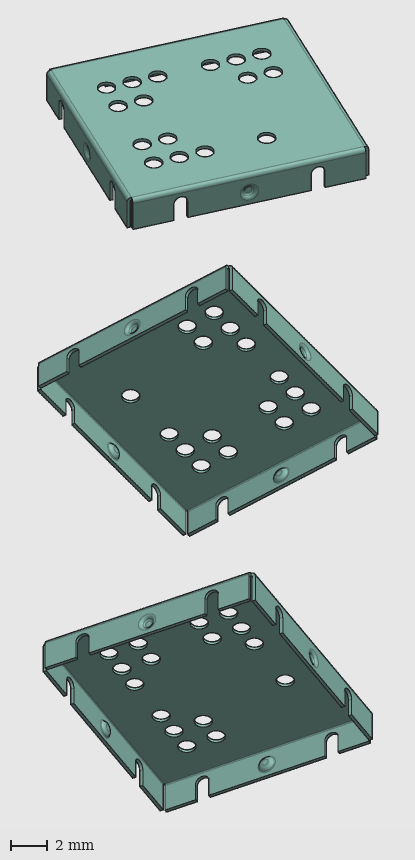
import cadquery as cq
import math

length_x = 13.16
length_y = 14.12
height = 2.0

sheet = 0.2
bend_radius = 0.25
inner_bend_radius = bend_radius - sheet

slot_width = 0.8
slot_top = 1.5
slot_offset = 4.01

dimple_height = 0.8
dimple_depth = 0.2
dimple_mouth_radius = 0.54
dimple_throat_radius = 0.31
dimple_floor_radius = 0.2

hole_diameter = 1.0
column_inner = 1.89
column_outer = 3.71
row_middle = 3.04
row_pitch = 1.5
row_low = row_middle - row_pitch
row_high = row_middle + row_pitch
single_hole_row = 2.06
full_group = [
    (column_outer, row_low),
    (column_outer, row_middle),
    (column_outer, row_high),
    (column_inner, row_middle),
    (column_inner, row_high),
]


def folded_channel(span, width):
    """Top strip with a wall bent down at each X end; span along X, width along Y."""
    outside = (
        cq.Workplane("XY")
        .box(span, width, height, centered=(True, True, False))
        .edges("|Y and >Z")
        .fillet(bend_radius)
    )
    cavity = (
        cq.Workplane("XY")
        .box(span - 2 * sheet, width, height - sheet, centered=(True, True, False))
        .edges("|Y and >Z")
        .fillet(inner_bend_radius)
    )
    return outside.cut(cavity)


def folded_lid():
    """Two crossed channels; each stops at the other's bends, leaving square corner notches."""
    along_x = folded_channel(length_x, length_y - 2 * bend_radius)
    along_y = folded_channel(length_y, length_x - 2 * bend_radius)
    return along_x.union(along_y.rotate((0, 0, 0), (0, 0, 1), 90))


def slot_pair():
    """Cutters through both Y walls at one offset each side of the middle."""
    slot_radius = slot_width / 2
    slot_shoulder = slot_top - slot_radius
    return (
        cq.Workplane("XZ")
        .pushPoints([(-slot_offset, 0), (slot_offset, 0)])
        .rect(slot_width, 2 * slot_shoulder)
        .extrude(length_y, both=True)
        .union(
            cq.Workplane("XZ")
            .pushPoints([(-slot_offset, slot_shoulder), (slot_offset, slot_shoulder)])
            .circle(slot_radius)
            .extrude(length_y, both=True)
        )
    )


def dimple_cup():
    """S-shaped cup of constant thickness, axis along Y, outer wall face at y = 0, pressed to +Y."""
    slope = 2 * math.atan(dimple_depth / (dimple_mouth_radius - dimple_floor_radius))
    mouth_arc = (dimple_mouth_radius - dimple_throat_radius) / math.sin(slope)
    floor_arc = (dimple_throat_radius - dimple_floor_radius) / math.sin(slope)
    mouth_centre_y = mouth_arc
    floor_centre_y = dimple_depth - floor_arc

    def mouth_point(radius, angle):
        x = dimple_mouth_radius - radius * math.sin(angle)
        return x, mouth_centre_y - radius * math.cos(angle)

    def floor_point(radius, angle):
        x = dimple_floor_radius + radius * math.sin(angle)
        return x, floor_centre_y + radius * math.cos(angle)

    inner_mouth_arc = mouth_arc - sheet
    inner_floor_arc = floor_arc + sheet
    return (
        cq.Workplane("XY")
        .moveTo(*mouth_point(mouth_arc, 0))
        .threePointArc(mouth_point(mouth_arc, slope / 2), mouth_point(mouth_arc, slope))
        .threePointArc(floor_point(floor_arc, slope / 2), floor_point(floor_arc, 0))
        .lineTo(0, dimple_depth)
        .lineTo(0, dimple_depth + sheet)
        .lineTo(*floor_point(inner_floor_arc, 0))
        .threePointArc(floor_point(inner_floor_arc, slope / 2), floor_point(inner_floor_arc, slope))
        .threePointArc(mouth_point(inner_mouth_arc, slope / 2), mouth_point(inner_mouth_arc, 0))
        .close()
        .revolve(360, (0, 0, 0), (0, 1, 0))
    )


def press_dimple(body, wall_distance, turn):
    """Replace a disc of the wall, turned about Z from the -Y side, by a dimple cup."""
    blank = cq.Workplane("XZ").circle(dimple_mouth_radius).extrude(-sheet)

    def on_wall(shape):
        placed = shape.translate((0, -wall_distance, dimple_height))
        return placed.rotate((0, 0, 0), (0, 0, 1), turn)

    return body.cut(on_wall(blank)).union(on_wall(dimple_cup()))


result = folded_lid()
for turn in (0, 90):
    result = result.cut(slot_pair().rotate((0, 0, 0), (0, 0, 1), turn))

hole_centres = [(column_outer, single_hole_row)]
for side_x, side_y in ((-1, 1), (-1, -1), (1, -1)):
    hole_centres += [(side_x * x, side_y * y) for x, y in full_group]
vent_holes = cq.Workplane("XY").pushPoints(hole_centres).circle(hole_diameter / 2).extrude(2 * height)
result = result.cut(vent_holes)

for turn in (0, 180):
    result = press_dimple(result, length_y / 2, turn)
for turn in (90, 270):
    result = press_dimple(result, length_x / 2, turn)